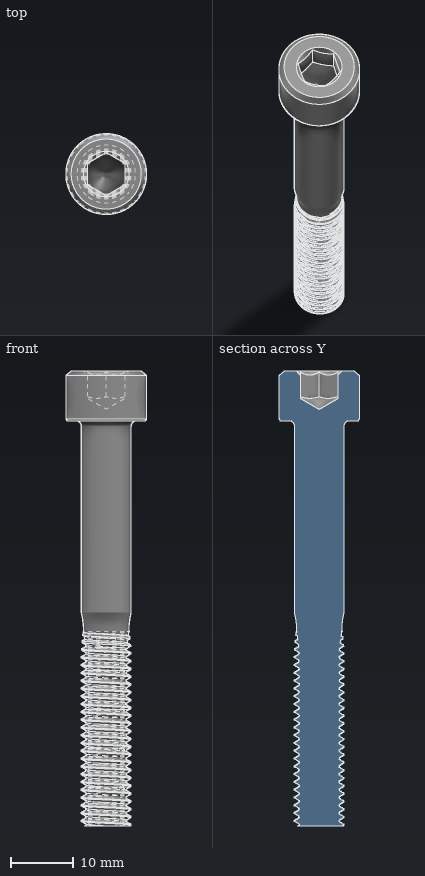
import cadquery as cq
import math


TOTAL_LENGTH = 73.0

HEAD_DIAMETER = 13.0
HEAD_HEIGHT = 8.0
TOP_CHAMFER_WIDTH = 0.9
TOP_CHAMFER_HEIGHT = 0.7
LOWER_CHAMFER_WIDTH = 0.2
LOWER_CHAMFER_HEIGHT = 0.4

HEX_ACROSS_FLATS = 6.0
SOCKET_DEPTH = 4.0
SOCKET_FLOOR_ANGLE = 120.0
COUNTERSINK_DIAMETER = 7.3
COUNTERSINK_ANGLE = 90.0

SHANK_DIAMETER = 8.0
SHANK_LENGTH = 30.7
NECK_DIAMETER = 7.3
UNDERHEAD_WIDTH = 0.65
UNDERHEAD_HEIGHT = 0.9

THREAD_LENGTH = 31.25
SECTION_TURNS = 5
SECTION_COUNT = 5
ROOT_DIAMETER = 6.6
FLANK_ANGLE = 30.0
CREST_SHARE = 1 / 8
TIP_CREST_ANGLE = 63.0
FLANK_STEPS = 6
RUNOUT_TURNS = 2.5
RUNOUT_CREST_STEP = 0.1
RUNOUT_CORE_INSET = 0.1
CLEARANCE = 0.7

HEAD_RADIUS = HEAD_DIAMETER / 2
SHANK_RADIUS = SHANK_DIAMETER / 2
NECK_RADIUS = NECK_DIAMETER / 2
ROOT_RADIUS = ROOT_DIAMETER / 2
PITCH = THREAD_LENGTH / (SECTION_TURNS * SECTION_COUNT)
SECTION_LENGTH = SECTION_TURNS * PITCH
TIP_Z = HEAD_HEIGHT - TOTAL_LENGTH
THREAD_TOP_Z = TIP_Z + THREAD_LENGTH
RUNOUT_END_Z = THREAD_TOP_Z - RUNOUT_TURNS * PITCH


def revolve_about_z(outline):
    """Revolve a closed outline of radius and height about the Z axis."""
    return outline.close().revolve(360, (0, 0, 0), (0, 1, 0))


def polar(radius, angle):
    """Point at a radius and an angle in degrees."""
    return (radius * math.cos(math.radians(angle)), radius * math.sin(math.radians(angle)))


def make_blank():
    """Head, filleted shank, concave neck and the cone under the thread runout as one turned body."""
    neck_height = -SHANK_LENGTH - THREAD_TOP_Z
    neck_step = SHANK_RADIUS - NECK_RADIUS
    arc_radius = (neck_height**2 + neck_step**2) / (2 * neck_step)
    half_angle = math.asin(neck_height / arc_radius) / 2
    arc_middle = (
        NECK_RADIUS + arc_radius * (1 - math.cos(half_angle)),
        THREAD_TOP_Z + arc_radius * math.sin(half_angle),
    )
    outline = (
        cq.Workplane("XZ")
        .moveTo(0, RUNOUT_END_Z)
        .lineTo(ROOT_RADIUS - RUNOUT_CORE_INSET, RUNOUT_END_Z)
        .lineTo(NECK_RADIUS, THREAD_TOP_Z)
        .threePointArc(arc_middle, (SHANK_RADIUS, -SHANK_LENGTH))
        .lineTo(SHANK_RADIUS, -UNDERHEAD_HEIGHT)
        .tangentArcPoint((UNDERHEAD_WIDTH, UNDERHEAD_HEIGHT))
        .lineTo(HEAD_RADIUS - LOWER_CHAMFER_WIDTH, 0)
        .lineTo(HEAD_RADIUS, LOWER_CHAMFER_HEIGHT)
        .lineTo(HEAD_RADIUS, HEAD_HEIGHT - TOP_CHAMFER_HEIGHT)
        .lineTo(HEAD_RADIUS - TOP_CHAMFER_WIDTH, HEAD_HEIGHT)
        .lineTo(0, HEAD_HEIGHT)
    )
    return revolve_about_z(outline)


def flank_points(start_radius, end_radius, start_angle, end_angle):
    """Points on a spiral whose radius grows evenly with the angle, without its first point."""
    points = []
    for step in range(1, FLANK_STEPS + 1):
        share = step / FLANK_STEPS
        radius = start_radius + share * (end_radius - start_radius)
        points.append(polar(radius, start_angle + share * (end_angle - start_angle)))
    return points


def make_thread_section():
    """Lowest thread section: the cross-section of the thread, twisted along the axis."""
    flank_height = (SHANK_RADIUS - ROOT_RADIUS) * math.tan(math.radians(FLANK_ANGLE))
    crest_end = 180 * CREST_SHARE
    root_start = crest_end + 360 * flank_height / PITCH
    root_end = 360 - root_start
    crest_start = 360 - crest_end
    cross_section = (
        cq.Workplane("XY")
        .moveTo(*polar(SHANK_RADIUS, crest_start))
        .threePointArc(polar(SHANK_RADIUS, 0), polar(SHANK_RADIUS, crest_end))
        .spline(flank_points(SHANK_RADIUS, ROOT_RADIUS, crest_end, root_start), includeCurrent=True)
        .threePointArc(polar(ROOT_RADIUS, 180), polar(ROOT_RADIUS, root_end))
        .spline(flank_points(ROOT_RADIUS, SHANK_RADIUS, root_end, crest_start), includeCurrent=True)
        .close()
    )
    section = cross_section.twistExtrude(SECTION_LENGTH, -360 * SECTION_TURNS)
    return section.rotate((0, 0, 0), (0, 0, 1), TIP_CREST_ANGLE).translate((0, 0, TIP_Z))


def make_runout_limit():
    """Body that keeps the thread full below and lowers its crest evenly towards the neck."""
    full_radius = SHANK_RADIUS + CLEARANCE
    outline = (
        cq.Workplane("XZ")
        .moveTo(0, TIP_Z)
        .lineTo(full_radius, TIP_Z)
        .lineTo(full_radius, RUNOUT_END_Z)
        .lineTo(SHANK_RADIUS, RUNOUT_END_Z)
        .lineTo(NECK_RADIUS + RUNOUT_CREST_STEP, THREAD_TOP_Z)
        .lineTo(0, THREAD_TOP_Z)
    )
    return revolve_about_z(outline)


def make_socket():
    """Hexagon socket with flats facing X, a conical floor and a countersunk mouth."""
    corner_diameter = HEX_ACROSS_FLATS / math.cos(math.radians(30))
    mouth_radius = COUNTERSINK_DIAMETER / 2
    floor_z = HEAD_HEIGHT - SOCKET_DEPTH
    apex_z = floor_z - mouth_radius / math.tan(math.radians(SOCKET_FLOOR_ANGLE / 2))

    hexagon = (
        cq.Workplane("XY", origin=(0, 0, apex_z))
        .transformed(rotate=(0, 0, 30))
        .polygon(6, corner_diameter)
        .extrude(HEAD_HEIGHT - apex_z)
    )
    drill = revolve_about_z(
        cq.Workplane("XZ")
        .moveTo(0, apex_z)
        .lineTo(mouth_radius, floor_z)
        .lineTo(mouth_radius, HEAD_HEIGHT)
        .lineTo(0, HEAD_HEIGHT)
    )
    countersink_depth = mouth_radius / math.tan(math.radians(COUNTERSINK_ANGLE / 2))
    countersink = revolve_about_z(
        cq.Workplane("XZ")
        .moveTo(0, HEAD_HEIGHT - countersink_depth)
        .lineTo(mouth_radius, HEAD_HEIGHT)
        .lineTo(0, HEAD_HEIGHT)
    )
    return hexagon.intersect(drill).union(countersink)


thread_section = make_thread_section()
top_section = thread_section.translate((0, 0, (SECTION_COUNT - 1) * SECTION_LENGTH))
runout_section = top_section.intersect(make_runout_limit(), clean=False)

screw = make_blank().cut(make_socket()).union(runout_section, clean=False)
for index in reversed(range(SECTION_COUNT - 1)):
    screw = screw.union(thread_section.translate((0, 0, index * SECTION_LENGTH)), clean=False)
result = screw.solids()